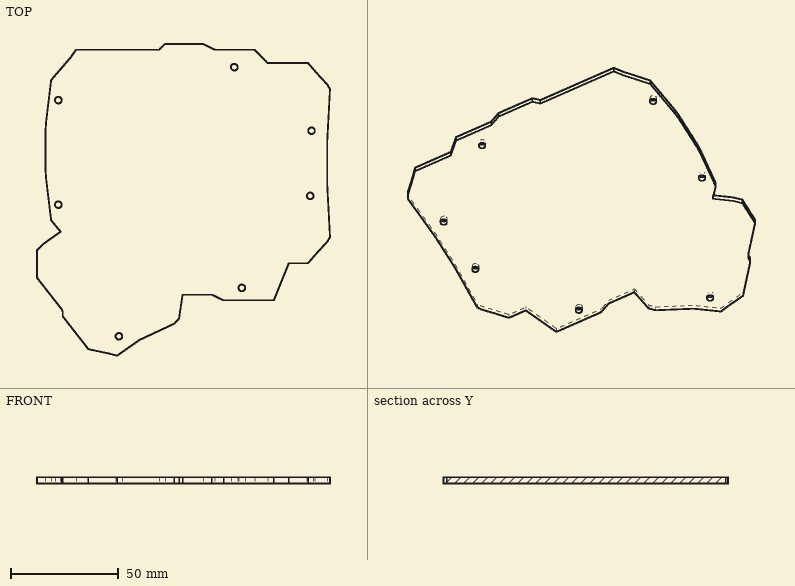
import cadquery as cq

LENGTH_X = 136.03
LENGTH_Y = 144.69
THICKNESS = 3.0
HOLE_DIAMETER = 3.0

UPPER_STEP_Y = 142.04
LOBE_SHELF_Y = 28.32
BOTTOM_EDGE_Y = 25.66

LEFT_MID_Y = 95.36
LEFT_FLAT_X = 3.95
LEFT_BEND_X = 4.3
LEFT_END_X = 6.55
LEFT_FLAT_HALF = 9.52
LEFT_BEND_HALF = 13.94
LEFT_END_HALF = 32.52

RIGHT_MID_Y = 89.38
RIGHT_FLAT_X = 134.75
RIGHT_BEND_X = 134.95
RIGHT_FLAT_HALF = 9.52
RIGHT_BEND_HALF = 13.94
RIGHT_CORNER_HALF = 34.3
CORNER_CUT = [
    (134.85, 36.35),
    (130.15, 41.45),
    (125.8, 46.46),
]


def left_bulge():
    """Left edge of the main body, from its upper end down to its lower end."""
    upper_half = [
        (LEFT_END_X, LEFT_END_HALF),
        (LEFT_BEND_X, LEFT_BEND_HALF),
        (LEFT_FLAT_X, LEFT_FLAT_HALF),
    ]
    upper = [(x, LEFT_MID_Y + offset) for x, offset in upper_half]
    lower = [(x, LEFT_MID_Y - offset) for x, offset in reversed(upper_half)]
    return upper + lower


def right_side():
    """Right edge with its two corner cuts, from the lower end up to the upper end."""
    upper_half = [
        (RIGHT_FLAT_X, RIGHT_FLAT_HALF),
        (RIGHT_BEND_X, RIGHT_BEND_HALF),
        (LENGTH_X, RIGHT_CORNER_HALF),
    ] + CORNER_CUT
    lower = [(x, RIGHT_MID_Y - offset) for x, offset in reversed(upper_half)]
    upper = [(x, RIGHT_MID_Y + offset) for x, offset in upper_half]
    return lower + upper


def lower_left_lobe():
    """Lobe below the left bulge, from the notch round to the shelf beside it."""
    return [
        (10.95, 57.6),
        (3.1, 52.0),
        (0, 49.0),
        (0, 36.2),
        (11.6, 21.4),
        (11.95, 20.3),
        (11.95, 18.3),
        (23.9, 3.0),
        (33.6, 0.95),
        (37.2, 0),
        (47.6, 7.3),
        (63.75, 14.85),
        (66.0, 17.3),
        (67.65, LOBE_SHELF_Y),
    ]


def bottom_edge():
    """Bottom of the main body, from the shelf to the right-hand corner cut."""
    return [
        (81.1, LOBE_SHELF_Y),
        (86.6, BOTTOM_EDGE_Y),
        (109.95, BOTTOM_EDGE_Y),
        (111.75, 30.1),
        (116.9, RIGHT_MID_Y - CORNER_CUT[-1][1]),
    ]


def top_edge():
    """Top of the main body with its raised tab, from right to left."""
    return [
        (107.05, RIGHT_MID_Y + CORNER_CUT[-1][1]),
        (101.0, UPPER_STEP_Y),
        (82.6, UPPER_STEP_Y),
        (77.1, LENGTH_Y),
        (59.45, LENGTH_Y),
        (56.7, UPPER_STEP_Y),
        (18.15, UPPER_STEP_Y),
        (15.6, 138.4),
    ]


HOLE_CENTERS = [
    (91.6, 133.9),
    (9.95, 118.6),
    (127.4, 104.4),
    (126.8, 74.2),
    (9.95, 70.1),
    (95.1, 31.5),
    (38.05, 9.05),
]

outline = left_bulge() + lower_left_lobe() + bottom_edge() + right_side() + top_edge()
plate = cq.Workplane("XY").polyline(outline).close().extrude(THICKNESS)

result = (
    plate.faces(">Z")
    .workplane(origin=(0, 0, THICKNESS))
    .pushPoints(HOLE_CENTERS)
    .hole(HOLE_DIAMETER)
)